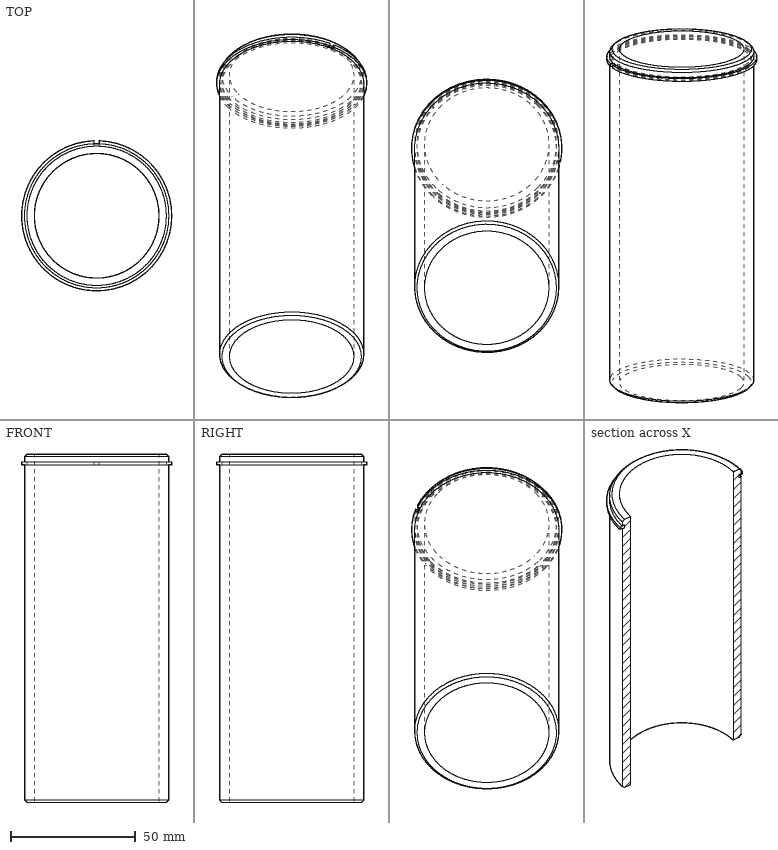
import cadquery as cq

sleeve_length = 140.0
sleeve_outer_radius = 29.0
bore_radius = 25.0
rim_chamfer = 1.0

ring_outer_radius = 30.2
ring_height = 1.2
ring_top_offset = 3.2
ring_gap = 2.0
groove_depth = 1.0

sleeve_top = sleeve_length / 2
ring_bottom = sleeve_top - ring_top_offset - ring_height
groove_radius = sleeve_outer_radius - groove_depth


def annulus(outer_radius, inner_radius, bottom, height):
    """Upright ring-shaped solid centred on the Z axis."""
    return (
        cq.Workplane("XY", origin=(0, 0, bottom))
        .circle(outer_radius)
        .circle(inner_radius)
        .extrude(height)
    )


def make_sleeve():
    """Tube with chamfered outer rims and the groove that holds the snap ring."""
    blank = (
        cq.Workplane("XY", origin=(0, 0, -sleeve_length / 2))
        .circle(sleeve_outer_radius)
        .extrude(sleeve_length)
        .faces("<Z or >Z")
        .edges()
        .chamfer(rim_chamfer)
    )
    bore = (
        cq.Workplane("XY", origin=(0, 0, -sleeve_length / 2))
        .circle(bore_radius)
        .extrude(sleeve_length)
    )
    groove = annulus(ring_outer_radius, groove_radius, ring_bottom, ring_height)
    return blank.cut(bore).cut(groove)


def make_snap_ring():
    """Ring filling the groove, split by a parallel-sided gap on the +Y side."""
    ring = annulus(ring_outer_radius, groove_radius, ring_bottom, ring_height)
    gap = cq.Workplane("XY", origin=(0, 0, ring_bottom)).box(
        ring_gap, ring_outer_radius, ring_height, centered=(True, False, False)
    )
    return ring.cut(gap)


sleeve = make_sleeve()
snap_ring = make_snap_ring()

result = cq.Compound.makeCompound([sleeve.val(), snap_ring.val()])